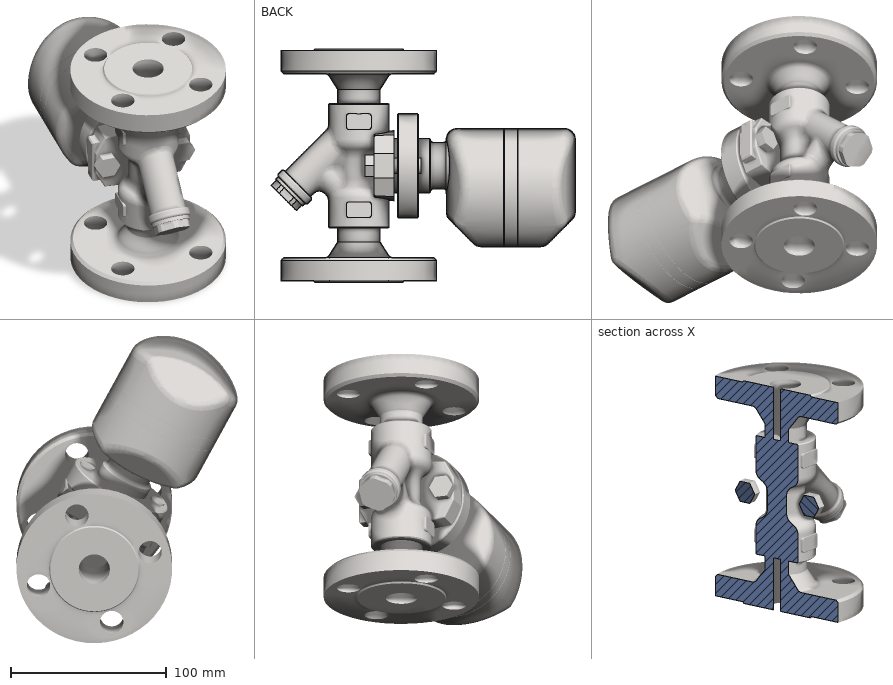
import cadquery as cq
import math

face_to_face = 150.0
flange_diameter = 100.0
flange_thickness = 15.0
flange_chamfer = 1.8
raised_face_base_diameter = 58.0
raised_face_diameter = 56.5
raised_face_height = 1.0
bolt_circle_diameter = 75.0
flange_hole_diameter = 15.0
flange_hole_count = 4
bore_diameter = 20.0
pipe_diameter = 27.2
hub_diameter = 40.0
hub_height = 10.0
hub_fillet = 3.5

body_diameter = 39.0
body_length = 80.0
body_end_chamfer = 0.7
waist_diameter = 25.0
shoulder_radius = 7.0
upper_shoulder_z = 16.6
lower_shoulder_z = -20.8

pad_width = 16.0
pad_height = 10.2
pad_z = 28.3
pad_face_y = 19.7
pad_corner_radius = 1.8
pad_edge_fillet = 0.4

branch_start_z = 27.5
branch_angle = 45.0
branch_diameter = 23.0
cap_ring_start = 55.5
cap_ring_diameter = 27.0
cap_ring_length = 5.5
cap_ring_fillet = 1.5
cap_collar_diameter = 24.5
cap_collar_length = 2.3
cap_hex_length = 4.88
cap_hex_across_flats = 21.3
cap_hex_diameter = 23.0
cap_hex_turn = 30.0

arm_diameter = 19.0
arm_position = 38.0
arm_length = 30.0
junction_fillet = 5.0

lug_front_x = -22.7
lug_back_x = -9.7
lug_half_height = 22.5
lug_draft_angle = 3.0
ear_top_y = 26.3
ear_top_z = 19.9
ear_end_y = 32.7
ear_end_z = 8.0
lug_back_fillet = 1.0

plate_face_y = 33.7
plate_width = 8.6
plate_height = 29.8
plate_bevel = 0.8
plate_center_x = -16.8

capsule_center_x = -97.55
capsule_end_x = -139.0
capsule_axis_z = -14.1
capsule_diameter = 76.0
capsule_end_radius = 71.0
capsule_bevel = 19.6
capsule_fillet = 7.0
band_width = 8.8
band_groove_width = 0.4
band_groove_depth = 0.2
neck_diameter = 30.0
neck_fillet = 1.75
collar_diameter = 35.0
collar_end_x = -46.0
collar_chamfer = 0.7
disc_diameter = 67.0
disc_front_x = -38.2
disc_back_x = -24.7
disc_chamfer = 0.7

bolt_diameter = 10.0
bolt_clearance_diameter = 10.5
bolt_spacing = 51.0
bolt_tip_x = -39.8
bolt_head_height = 5.9
bolt_head_across_flats = 13.8

half_length = face_to_face / 2
flange_face_z = half_length - raised_face_height
flange_back_z = half_length - flange_thickness - raised_face_height
body_end_z = body_length / 2
capsule_half_length = capsule_center_x - capsule_end_x
capsule_radius = capsule_diameter / 2
neck_start_x = capsule_center_x + capsule_half_length


def x_cylinder(start_x, end_x, diameter):
    """A cylinder along the X axis."""
    return cq.Workplane("YZ", origin=(start_x, 0, 0)).circle(diameter / 2).extrude(end_x - start_x)


def x_prism(start_x, end_x, across_flats):
    """A hexagonal prism along the X axis with flats facing up and down."""
    corner_diameter = across_flats / math.cos(math.pi / 6)
    return cq.Workplane("YZ", origin=(start_x, 0, 0)).polygon(6, corner_diameter).extrude(end_x - start_x)


def make_flange():
    """The upper pipe flange with its hub and pipe stub."""
    plate = (
        cq.Workplane("XY", origin=(0, 0, flange_back_z))
        .circle(flange_diameter / 2)
        .extrude(flange_face_z - flange_back_z)
        .faces("<Z")
        .chamfer(flange_chamfer)
    )
    raised_face = (
        cq.Workplane("XY", origin=(0, 0, flange_face_z))
        .circle(raised_face_base_diameter / 2)
        .workplane(offset=raised_face_height)
        .circle(raised_face_diameter / 2)
        .loft()
    )
    hub = (
        cq.Workplane("XY", origin=(0, 0, flange_back_z - hub_height))
        .circle(pipe_diameter / 2)
        .workplane(offset=hub_height)
        .circle(hub_diameter / 2)
        .loft()
    )
    flange = plate.union(hub)
    hub_root = flange.faces(cq.selectors.NearestToPointSelector((hub_diameter, 0, flange_back_z)))
    flange = hub_root.edges(cq.selectors.RadiusNthSelector(0)).fillet(hub_fillet)
    pipe = (
        cq.Workplane("XY", origin=(0, 0, body_end_z))
        .circle(pipe_diameter / 2)
        .extrude(flange_back_z - hub_height - body_end_z)
    )
    bolt_holes = (
        cq.Workplane("XY", origin=(0, 0, flange_back_z))
        .polarArray(bolt_circle_diameter / 2, 180 / flange_hole_count, 360, flange_hole_count)
        .circle(flange_hole_diameter / 2)
        .extrude(flange_thickness)
    )
    bore = cq.Workplane("XY", origin=(0, 0, body_end_z)).circle(bore_diameter / 2).extrude(half_length)
    return flange.union(raised_face).union(pipe).cut(bolt_holes).cut(bore)


def make_barrel():
    """The turned body: two thick ends joined by a waist through rounded shoulders."""
    outer = body_diameter / 2
    inner = waist_diameter / 2
    turn = math.acos(1 - (outer - inner) / (2 * shoulder_radius))
    arc_height = shoulder_radius * math.sin(turn)
    middle = (outer + inner) / 2
    bulge_r = shoulder_radius * (1 - math.cos(turn / 2))
    bulge_z = shoulder_radius * math.sin(turn / 2)
    upper_waist_z = upper_shoulder_z - 2 * arc_height
    lower_waist_z = lower_shoulder_z + 2 * arc_height
    barrel = (
        cq.Workplane("XZ")
        .moveTo(0, -body_end_z)
        .lineTo(outer, -body_end_z)
        .lineTo(outer, lower_shoulder_z)
        .threePointArc((outer - bulge_r, lower_shoulder_z + bulge_z), (middle, lower_shoulder_z + arc_height))
        .threePointArc((inner + bulge_r, lower_waist_z - bulge_z), (inner, lower_waist_z))
        .lineTo(inner, upper_waist_z)
        .threePointArc((inner + bulge_r, upper_waist_z + bulge_z), (middle, upper_shoulder_z - arc_height))
        .threePointArc((outer - bulge_r, upper_shoulder_z - bulge_z), (outer, upper_shoulder_z))
        .lineTo(outer, body_end_z)
        .lineTo(0, body_end_z)
        .close()
        .revolve(360, (0, 0, 0), (0, 1, 0))
    )
    return barrel.faces("<Z or >Z").edges().chamfer(body_end_chamfer)


def make_pads():
    """A bar through the body whose ends are the marking pads on both sides."""
    bar = (
        cq.Workplane("XY")
        .box(pad_width, 2 * pad_face_y, pad_height)
        .edges("|Y")
        .fillet(pad_corner_radius)
        .faces("<Y or >Y")
        .edges()
        .fillet(pad_edge_fillet)
    )
    return bar.translate((0, 0, pad_z)).union(bar.translate((0, 0, -pad_z)))


branch_plane = cq.Plane(
    origin=(0, 0, branch_start_z),
    xDir=(0, 1, 0),
    normal=(math.sin(math.radians(branch_angle)), 0, -math.cos(math.radians(branch_angle))),
)


def branch_cylinder(start, length, diameter):
    """A cylinder on the strainer axis, starting at a distance along it."""
    return cq.Workplane(branch_plane).workplane(offset=start).circle(diameter / 2).extrude(length)


def make_cap():
    """Strainer cap: rounded ring, collar and a hexagon with turned corners."""
    ring = branch_cylinder(cap_ring_start, cap_ring_length, cap_ring_diameter)
    ring = ring.edges().fillet(cap_ring_fillet)
    collar_start = cap_ring_start + cap_ring_length
    collar = branch_cylinder(collar_start, cap_collar_length, cap_collar_diameter)
    hex_start = collar_start + cap_collar_length
    hexagon = (
        cq.Workplane(branch_plane)
        .workplane(offset=hex_start)
        .transformed(rotate=(0, 0, cap_hex_turn))
        .polygon(6, cap_hex_across_flats / math.cos(math.pi / 6))
        .extrude(cap_hex_length)
        .intersect(branch_cylinder(hex_start, cap_hex_length, cap_hex_diameter))
    )
    return ring.union(collar).union(hexagon)


def make_arm():
    """Arm from the lower body to the strainer branch."""
    along = math.sin(math.radians(branch_angle))
    down = math.cos(math.radians(branch_angle))
    meeting_point = (arm_position * along, 0, branch_start_z - arm_position * down)
    arm_plane = cq.Plane(origin=meeting_point, xDir=(0, 1, 0), normal=(-down, 0, -along))
    return cq.Workplane(arm_plane).circle(arm_diameter / 2).extrude(arm_length)


def make_casting():
    """Barrel, strainer branch and arm, with the curves where they cross rounded off."""
    branch = branch_cylinder(0, cap_ring_start, branch_diameter)
    casting = make_barrel().union(branch).union(make_arm())
    crossings = [edge for edge in casting.edges().vals() if edge.geomType() == "BSPLINE"]
    return casting.newObject(crossings).fillet(junction_fillet)


def make_lug():
    """Two-eared lug behind the clamping disc."""
    outline = [
        (0, lug_half_height),
        (ear_top_y, ear_top_z),
        (ear_end_y, ear_end_z),
        (ear_end_y, -ear_end_z),
        (ear_top_y, -ear_top_z),
        (0, -lug_half_height),
        (-ear_top_y, -ear_top_z),
        (-ear_end_y, -ear_end_z),
        (-ear_end_y, ear_end_z),
        (-ear_top_y, ear_top_z),
    ]
    return (
        cq.Workplane("YZ", origin=(lug_front_x, 0, 0))
        .polyline(outline)
        .close()
        .extrude(lug_back_x - lug_front_x, taper=lug_draft_angle)
        .faces(">X")
        .edges()
        .fillet(lug_back_fillet)
    )


def make_name_plate():
    depth = plate_face_y - bolt_spacing / 2
    plate = cq.Workplane("XY").box(plate_width, depth, plate_height).faces("<Y").edges().chamfer(plate_bevel)
    return plate.translate((plate_center_x, -plate_face_y + depth / 2, 0))


def make_band_groove(center_x):
    """Shallow ring that cuts one edge line of the capsule band."""
    start_x = center_x - band_groove_width / 2
    end_x = center_x + band_groove_width / 2
    core = x_cylinder(start_x, end_x, capsule_diameter - 2 * band_groove_depth)
    return x_cylinder(start_x, end_x, capsule_diameter + 2 * band_groove_depth).cut(core)


def make_capsule():
    """A horizontal cylinder with bowed ends, bevelled underneath and rounded all round."""
    start_x = -capsule_half_length
    cylinder = x_cylinder(start_x, capsule_half_length, capsule_diameter)
    sagitta = capsule_end_radius - math.sqrt(capsule_end_radius**2 - capsule_radius**2)
    corner_x = capsule_half_length - sagitta
    plan = (
        cq.Workplane("XY", origin=(0, 0, -capsule_radius))
        .moveTo(-corner_x, -capsule_radius)
        .lineTo(corner_x, -capsule_radius)
        .threePointArc((capsule_half_length, 0), (corner_x, capsule_radius))
        .lineTo(-corner_x, capsule_radius)
        .threePointArc((-capsule_half_length, 0), (-corner_x, -capsule_radius))
        .close()
        .extrude(capsule_diameter)
    )
    side = (
        cq.Workplane("XY")
        .box(2 * capsule_half_length, capsule_diameter, capsule_diameter)
        .faces("<Z")
        .edges("|Y")
        .chamfer(capsule_bevel)
    )
    capsule = cylinder.intersect(plan).intersect(side)
    capsule = capsule.edges().fillet(capsule_fillet)
    for groove_x in (-band_width / 2, band_width / 2):
        capsule = capsule.cut(make_band_groove(groove_x))
    return capsule.translate((capsule_center_x, 0, capsule_axis_z))


def make_trap():
    """Capsule on its neck, with the collar that reaches the lug and the clamping disc."""
    neck = x_cylinder(neck_start_x, collar_end_x, neck_diameter)
    root_ring = x_cylinder(neck_start_x - capsule_fillet, neck_start_x, collar_diameter)
    collar = x_cylinder(collar_end_x, lug_front_x, collar_diameter).faces("<X").chamfer(collar_chamfer)
    disc = x_cylinder(disc_front_x, disc_back_x, disc_diameter).faces("<X or >X").chamfer(disc_chamfer)
    stem = neck.union(root_ring).union(collar)
    stem = stem.edges(cq.selectors.RadiusNthSelector(0)).fillet(neck_fillet)
    return stem.union(disc).union(make_capsule())


def make_bolt(y):
    """Bolt whose head bears on the lug and whose tip stands proud of the disc."""
    shank = x_cylinder(bolt_tip_x, lug_back_x, bolt_diameter)
    head = x_prism(lug_back_x, lug_back_x + bolt_head_height, bolt_head_across_flats)
    return shank.union(head).translate((0, y, 0))


def make_bolt_hole(y):
    """Close hole through the disc, clearance hole through the lug and room for the head."""
    disc_hole = x_cylinder(bolt_tip_x, disc_back_x, bolt_diameter)
    lug_hole = x_cylinder(lug_front_x, lug_back_x, bolt_clearance_diameter)
    head_room = x_prism(lug_back_x, lug_back_x + bolt_head_height, bolt_head_across_flats)
    return disc_hole.union(lug_hole).union(head_room).translate((0, y, 0))


upper_flange = make_flange()
lower_flange = upper_flange.mirror("XY")
main_body = make_casting()
features = [make_pads(), make_cap(), make_lug(), make_name_plate(), upper_flange, lower_flange, make_trap()]
for feature in features:
    main_body = main_body.union(feature)

bolt_places = (-bolt_spacing / 2, bolt_spacing / 2)
bolts = [make_bolt(y) for y in bolt_places]
for y in bolt_places:
    main_body = main_body.cut(make_bolt_hole(y))

result = cq.Compound.makeCompound([main_body.val(), *[bolt.val() for bolt in bolts]])